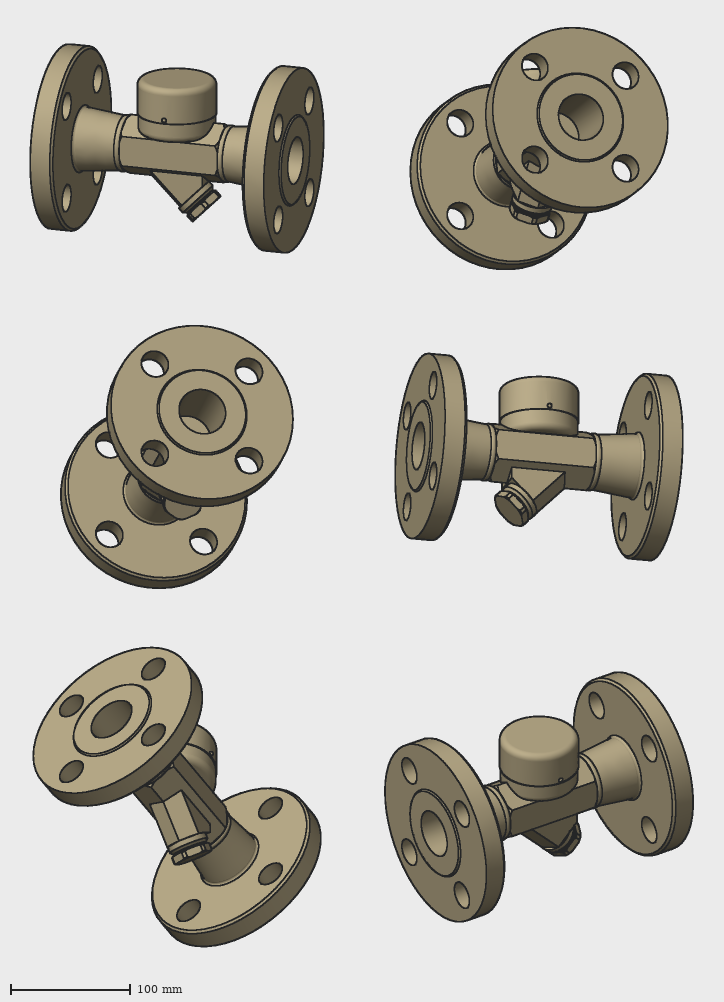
import cadquery as cq
import math

overall_length = 210
half_length = overall_length / 2

flange_diameter = 156.0
flange_inner_x = 84.0
flange_edge_chamfer = 2.0
face_height = 1.5
face_root_diameter = 76.9
face_tip_diameter = 74.3
bore_diameter = 40.0
bolt_diameter = 23.0
bolt_offset = 40.3

neck_fillet_x = 81.0
neck_fillet_root_radius = 28.5
neck_large_radius = 26.9
neck_small_radius = 23.3
bead_outer_x = 48.0
bead_peak_radius = 24.2

hexagon_sides = 6
hexagon_half_angle = 180 / hexagon_sides

body_half_length = 43.5
body_corner_radius = 25.8
body_end_radius = 23.5
body_chamfer_length = 2.0

cap_diameter = 66.5
cap_top_z = 61.5
cap_bottom_z = 31.3
cap_fillet = 5.5
seat_diameter = 65.0
seat_bottom_z = 14.0
seat_fillet = 5.5
nub_radius = 1.9
nub_z = 34.5

branch_angle = 45
branch_axis_drop = 24.2
branch_half_width = 15.5
branch_apex = 16.8
branch_underside_slope = 30
branch_top = 24.8
branch_end = 21.2
branch_start = -19.1
branch_limit_x = 28.0

collar_diameter = 34.0
plug_neck_diameter = 29.0
collar_length = 5.0
collar_chamfer = (collar_diameter - plug_neck_diameter) / 2
plug_neck_length = 1.5
plug_head_length = 7.0
plug_across_flats = 31.0
plug_chamfer = 0.8


def make_flanged_end():
    """Left flange, neck and bead as one turned solid, with its bore and bolt holes."""
    flange_radius = flange_diameter / 2
    flange_outer_x = half_length - face_height
    bead_middle_x = (body_half_length + bead_outer_x) / 2
    corner_factor = 1 - math.sqrt(0.5)
    fillet_mid_x = flange_inner_x - corner_factor * (flange_inner_x - neck_fillet_x)
    fillet_mid_radius = neck_large_radius + corner_factor * (neck_fillet_root_radius - neck_large_radius)
    turned = (
        cq.Workplane("XY")
        .moveTo(-half_length, 0)
        .lineTo(-half_length, face_tip_diameter / 2)
        .lineTo(-flange_outer_x, face_root_diameter / 2)
        .lineTo(-flange_outer_x, flange_radius)
        .lineTo(-flange_inner_x - flange_edge_chamfer, flange_radius)
        .lineTo(-flange_inner_x, flange_radius - flange_edge_chamfer)
        .lineTo(-flange_inner_x, neck_fillet_root_radius)
        .threePointArc((-fillet_mid_x, fillet_mid_radius), (-neck_fillet_x, neck_large_radius))
        .lineTo(-bead_outer_x, neck_small_radius)
        .threePointArc((-bead_middle_x, bead_peak_radius), (-body_half_length, neck_small_radius))
        .lineTo(-body_half_length, 0)
        .close()
        .revolve(360, (0, 0, 0), (1, 0, 0))
    )
    outer_face = cq.Workplane("YZ", origin=(-half_length, 0, 0))
    bore = outer_face.circle(bore_diameter / 2).extrude(half_length - body_half_length)
    bolt_holes = (
        outer_face.rect(2 * bolt_offset, 2 * bolt_offset, forConstruction=True)
        .vertices()
        .circle(bolt_diameter / 2)
        .extrude(half_length - flange_inner_x)
    )
    return turned.cut(bore).cut(bolt_holes)


def make_body():
    """Hexagonal bar along X whose corners are turned down at both ends."""
    hexagon = (
        cq.Workplane("YZ", origin=(-body_half_length, 0, 0))
        .transformed(rotate=(0, 0, 90))
        .polygon(hexagon_sides, 2 * body_corner_radius)
        .extrude(2 * body_half_length)
    )
    shoulder_x = body_half_length - body_chamfer_length
    envelope = (
        cq.Workplane("XY")
        .polyline([
            (-body_half_length, 0),
            (-body_half_length, body_end_radius),
            (-shoulder_x, body_corner_radius),
            (shoulder_x, body_corner_radius),
            (body_half_length, body_end_radius),
            (body_half_length, 0),
        ])
        .close()
        .revolve(360, (0, 0, 0), (1, 0, 0))
    )
    return hexagon.intersect(envelope)


def make_cap():
    """Round cover on a slightly smaller seat, with a nub at front and back."""
    seat = (
        cq.Workplane("XY", origin=(0, 0, seat_bottom_z))
        .circle(seat_diameter / 2)
        .extrude(cap_bottom_z - seat_bottom_z)
        .faces("<Z").edges().fillet(seat_fillet)
    )
    cover = (
        cq.Workplane("XY", origin=(0, 0, cap_bottom_z))
        .circle(cap_diameter / 2)
        .extrude(cap_top_z - cap_bottom_z)
        .faces(">Z").edges().fillet(cap_fillet)
    )
    cap = cover.union(seat)
    for side in (-1, 1):
        nub = cq.Workplane("XY", origin=(0, side * cap_diameter / 2, nub_z)).sphere(nub_radius)
        cap = cap.union(nub)
    return cap


def branch_plane(distance):
    """Plane square to the branch axis: local x is along Y, local y points up and away from the axis."""
    angle = math.radians(branch_angle)
    axis = (math.cos(angle), 0, -math.sin(angle))
    origin = (distance * axis[0], 0, distance * axis[2] - branch_axis_drop)
    return cq.Workplane(cq.Plane(origin=origin, xDir=(0, 1, 0), normal=axis))


def make_branch():
    """Flat-sided arm with a V-shaped underside, trimmed square on its +X side."""
    bevel_y = branch_half_width * math.tan(math.radians(branch_underside_slope)) - branch_apex
    arm = (
        branch_plane(branch_start)
        .polyline([
            (-branch_half_width, branch_top),
            (-branch_half_width, bevel_y),
            (0, -branch_apex),
            (branch_half_width, bevel_y),
            (branch_half_width, branch_top),
        ])
        .close()
        .extrude(branch_end - branch_start)
    )
    trim = cq.Workplane("XY").box(overall_length, overall_length, overall_length)
    return arm.intersect(trim.translate((branch_limit_x - half_length, 0, 0)))


def make_plug():
    """Chamfered collar, neck and hexagon head with rounded corners."""
    collar_full_length = collar_length + collar_chamfer
    collar = (
        branch_plane(branch_end)
        .circle(collar_diameter / 2)
        .extrude(collar_full_length)
        .faces(">(1, 0, -1)").chamfer(collar_chamfer)
    )
    neck_start = branch_end + collar_full_length
    head_start = neck_start + plug_neck_length
    neck = branch_plane(neck_start).circle(plug_neck_diameter / 2).extrude(plug_neck_length)
    head_blank = (
        branch_plane(head_start)
        .circle(collar_diameter / 2)
        .extrude(plug_head_length)
        .edges("%CIRCLE").chamfer(plug_chamfer)
    )
    hexagon = (
        branch_plane(head_start)
        .transformed(rotate=(0, 0, hexagon_half_angle))
        .polygon(hexagon_sides, plug_across_flats / math.cos(math.radians(hexagon_half_angle)))
        .extrude(plug_head_length)
    )
    return collar.union(neck).union(head_blank.intersect(hexagon))


left_end = make_flanged_end()
right_end = left_end.mirror("YZ")

result = make_body().union(left_end).union(right_end)
result = result.union(make_cap()).union(make_branch()).union(make_plug())